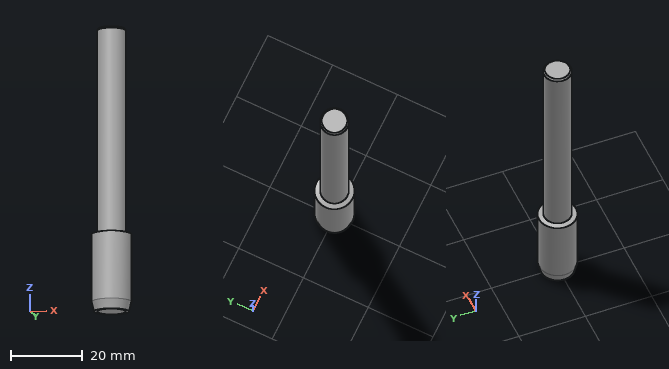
import cadquery as cq

total_length = 80.2

sleeve_diameter = 11.15
sleeve_length = 21.9
sleeve_top_rise = 0.3
taper_length = 2.8
taper_end_diameter = 9.8

rod_diameter = 8.0
rod_chamfer_length = 0.6
rod_chamfer_width = 0.5


def make_rod():
    """Round rod running the full length, with a chamfered top end."""
    rod = cq.Workplane("XY").circle(rod_diameter / 2).extrude(total_length)
    return rod.faces(">Z").chamfer(rod_chamfer_length, rod_chamfer_width)


def make_sleeve():
    """Sleeve around the lower end of the rod, tapered at the bottom, with a shallow conical top face."""
    bore_radius = rod_diameter / 2
    outer_radius = sleeve_diameter / 2
    profile = [
        (bore_radius, 0),
        (taper_end_diameter / 2, 0),
        (outer_radius, taper_length),
        (outer_radius, sleeve_length),
        (bore_radius, sleeve_length + sleeve_top_rise),
    ]
    return cq.Workplane("XZ").polyline(profile).close().revolve(360, (0, 0), (0, 1))


rod = make_rod()
sleeve = make_sleeve()

result = cq.Compound.makeCompound([rod.val(), sleeve.val()])